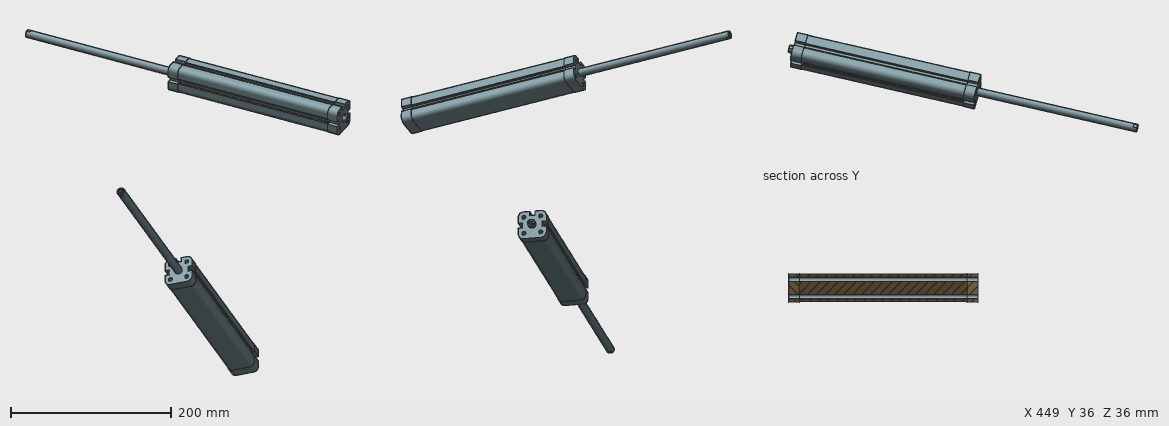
import cadquery as cq
import math

total_length = 449.0
head_start = 206.0
cap_length = 13.5
rear_stub = 6.7
barrel_start = head_start + cap_length
rear_cap_start = total_length - rear_stub - cap_length

cap_side = 36.0
barrel_side = 35.0
cap_corner_radius = 6.7
barrel_corner_radius = cap_corner_radius - (cap_side - barrel_side) / 2

slot_width = 6.7
slot_floor = 12.5
slot_mouth_width = 5.5
slot_lip_thickness = 1.5
slot_angles = (-90, 0, 90)

screw_hole_diameter = 5.0
screw_hole_spacing = 21.5

rod_diameter = 10.0
rod_end_length = 5.0
rod_chamfer = 0.67
across_flats = 9.0
end_hole_diameter = 5.0
end_hole_depth = 9.0
drill_point_angle = 118.0


def section_plane(x):
    """Plane square to the axis at x, with local x along Y and local y along Z."""
    return cq.Workplane("YZ", origin=(x, 0, 0))


def square_block(side, corner_radius, start, length):
    """Rounded square bar with the four screw holes and the bore for the rod."""
    return (
        section_plane(start)
        .rect(side, side)
        .extrude(length)
        .edges("|X")
        .fillet(corner_radius)
        .cut(section_plane(start).circle(rod_diameter / 2).extrude(length))
        .cut(
            section_plane(start)
            .rect(screw_hole_spacing, screw_hole_spacing, forConstruction=True)
            .vertices()
            .circle(screw_hole_diameter / 2)
            .extrude(length)
        )
    )


def slot_box(width, bottom, top, start, length):
    """Bar on the +Z side from height bottom to height top."""
    return (
        section_plane(start)
        .center(0, (bottom + top) / 2)
        .rect(width, top - bottom)
        .extrude(length)
    )


def cut_slots(body, slot):
    """Cut the +Z slot and its copies on the other slotted sides."""
    for angle in slot_angles:
        body = body.cut(slot.rotate((0, 0, 0), (1, 0, 0), angle))
    return body


def make_end_cap(start):
    """End cap with plain open slots."""
    cap = square_block(cap_side, cap_corner_radius, start, cap_length)
    slot = slot_box(slot_width, slot_floor, cap_side / 2, start, cap_length)
    return cut_slots(cap, slot)


def make_barrel():
    """Barrel profile with T-slots that have a narrow mouth."""
    length = rear_cap_start - barrel_start
    barrel = square_block(barrel_side, barrel_corner_radius, barrel_start, length)
    lip_bottom = barrel_side / 2 - slot_lip_thickness
    channel = slot_box(slot_width, slot_floor, lip_bottom, barrel_start, length)
    mouth = slot_box(slot_mouth_width, slot_floor, barrel_side / 2, barrel_start, length)
    return cut_slots(barrel, channel.union(mouth))


def make_end_hole():
    """Blind hole from X = 0 with a conical drill point."""
    radius = end_hole_diameter / 2
    point_length = radius / math.tan(math.radians(drill_point_angle / 2))
    return (
        cq.Workplane("XY")
        .polyline([
            (0, 0),
            (0, radius),
            (end_hole_depth, radius),
            (end_hole_depth + point_length, 0),
        ])
        .close()
        .revolve(360, (0, 0, 0), (1, 0, 0))
    )


def make_rod_end():
    """Chamfered rod end at X = 0 with a wrench flat above and below."""
    flats = section_plane(0).rect(rod_diameter, across_flats).extrude(rod_end_length)
    return (
        section_plane(0)
        .circle(rod_diameter / 2)
        .extrude(rod_end_length)
        .faces("<X")
        .chamfer(rod_chamfer)
        .intersect(flats)
    )


def make_rod():
    """Through rod with the same end and blind hole on both sides; each end stays a face of its own."""
    front_end = make_rod_end()
    rear_end = front_end.mirror("YZ", (total_length / 2, 0, 0))
    front_hole = make_end_hole()
    rear_hole = front_hole.mirror("YZ", (total_length / 2, 0, 0))
    return (
        section_plane(rod_end_length)
        .circle(rod_diameter / 2)
        .extrude(total_length - 2 * rod_end_length)
        .union(front_end, clean=False)
        .union(rear_end, clean=False)
        .cut(front_hole, clean=False)
        .cut(rear_hole, clean=False)
    )


end_caps = [make_end_cap(start) for start in (head_start, rear_cap_start)]
barrel = make_barrel()
rod = make_rod()

result = cq.Compound.makeCompound([*(cap.val() for cap in end_caps), barrel.val(), rod.val()])